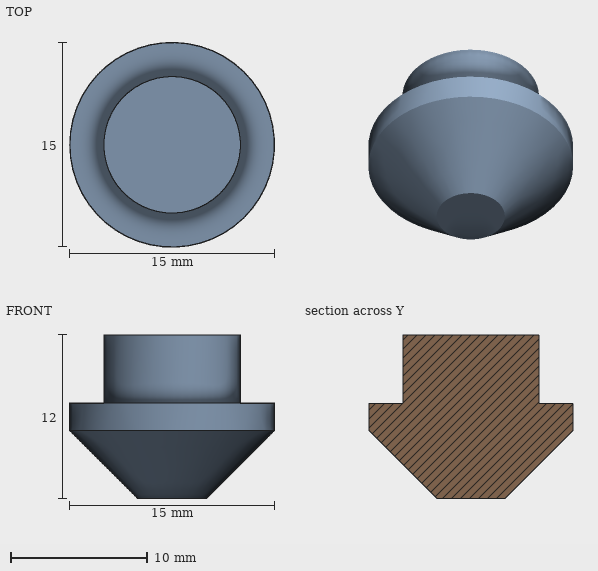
import cadquery as cq

flange_diameter = 15.0
flange_thickness = 2.0
post_diameter = 10.0
post_height = 5.0
tip_diameter = 5.0
cone_height = 5.0

flange_radius = flange_diameter / 2
post_radius = post_diameter / 2
tip_radius = tip_diameter / 2
flange_bottom = cone_height
flange_top = flange_bottom + flange_thickness
post_top = flange_top + post_height


def half_profile():
    """Half section in the XZ plane, on the -X side so the seam falls there."""
    return (
        cq.Workplane("XZ")
        .moveTo(0, 0)
        .lineTo(-tip_radius, 0)
        .lineTo(-flange_radius, flange_bottom)
        .lineTo(-flange_radius, flange_top)
        .lineTo(-post_radius, flange_top)
        .lineTo(-post_radius, post_top)
        .lineTo(0, post_top)
        .close()
    )


result = half_profile().revolve(360, (0, 0, 0), (0, 1, 0))